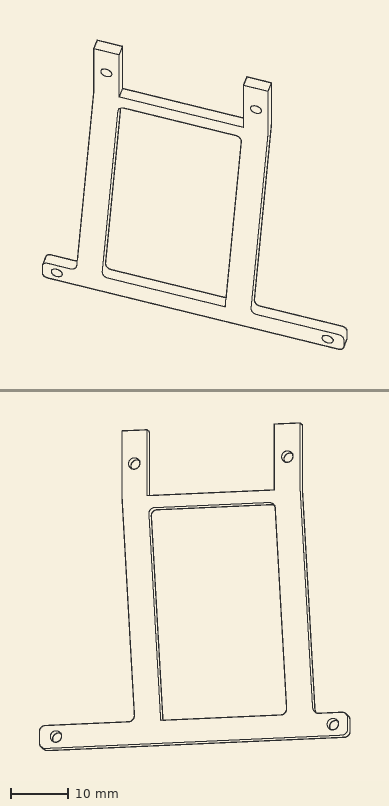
import cadquery as cq
import math

bar_length = 55.0
total_height = 53.7
sheet_thickness = 2.0

bar_height = 4.1
bar_corner_radius = 1.05
bar_hole_spacing = 49.4
bar_hole_center_x = -0.15

frame_center_x = -5.4
frame_width = 31.8
leg_width = 4.65
crossbar_height = 2.1
window_corner_radius = 1.0
foot_radius = 1.05

left_tab_width = leg_width
right_tab_width = 4.5
tab_hole_spacing = 27.3
tab_hole_center_x = -5.35
tab_hole_z = 47.8

hole_diameter = 2.0

setback = 10.15
bend_z = 42.0

frame_left = frame_center_x - frame_width / 2
frame_right = frame_center_x + frame_width / 2
window_left = frame_left + leg_width
window_right = frame_right - leg_width
window_top = bend_z - crossbar_height
total_depth = setback + sheet_thickness


def block(x_min, x_max, z_min, z_max, depth=total_depth):
    """Block from y = 0 back to the given depth."""
    size = (x_max - x_min, depth, z_max - z_min)
    return cq.Workplane("XY").box(*size, centered=False).translate((x_min, 0, z_min))


def bent_sheet():
    """Leaning and upright stretches of the sheet above the bar, as wide as the frame and its feet."""
    x_start = frame_left - foot_radius
    width = frame_width + 2 * foot_radius
    return (
        cq.Workplane("YZ", origin=(x_start, 0, 0))
        .moveTo(0, bar_height)
        .lineTo(setback, bend_z)
        .lineTo(setback, total_height)
        .lineTo(total_depth, total_height)
        .lineTo(total_depth, bend_z)
        .lineTo(sheet_thickness, bar_height)
        .close()
        .extrude(width)
    )


def foot(corner_x, side):
    """Concave fillet between a leg side and the top of the bar; side is +1 or -1 along X."""
    arc_inset = foot_radius * (1 - math.sqrt(0.5))
    return (
        cq.Workplane("XZ")
        .moveTo(corner_x, bar_height)
        .lineTo(corner_x + side * foot_radius, bar_height)
        .threePointArc(
            (corner_x + side * arc_inset, bar_height + arc_inset),
            (corner_x, bar_height + foot_radius),
        )
        .close()
        .extrude(-total_depth)
    )


def frame():
    """Legs, crossbar and tabs, cut out of the bent sheet."""
    window = block(window_left, window_right, 0, window_top)
    window = window.edges("|Y and >Z").fillet(window_corner_radius)
    outline = block(frame_left, frame_right, bar_height, bend_z).cut(window)
    outline = outline.union(block(frame_left, frame_left + left_tab_width, bend_z, total_height))
    outline = outline.union(block(frame_right - right_tab_width, frame_right, bend_z, total_height))
    for corner_x, side in ((frame_left, -1), (window_left, 1), (frame_right, 1)):
        outline = outline.union(foot(corner_x, side))
    return outline.intersect(bent_sheet())


def bar():
    """Straight bar with rounded corners."""
    plate = block(-bar_length / 2, bar_length / 2, 0, bar_height, sheet_thickness)
    return plate.edges("|Y").fillet(bar_corner_radius)


def hole_pair(center_x, spacing, z):
    """Two through holes along Y, evenly placed about center_x."""
    return (
        cq.Workplane("XZ")
        .pushPoints([(center_x - spacing / 2, z), (center_x + spacing / 2, z)])
        .circle(hole_diameter / 2)
        .extrude(-total_depth)
    )


result = bar().union(frame())
result = result.cut(hole_pair(bar_hole_center_x, bar_hole_spacing, bar_height / 2))
result = result.cut(hole_pair(tab_hole_center_x, tab_hole_spacing, tab_hole_z))